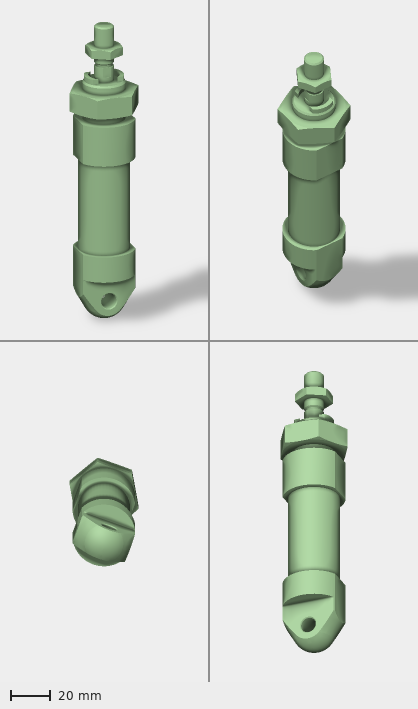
import cadquery as cq
import math

TOTAL_LENGTH = 157.0

REAR_CAP_BOTTOM = 24.0
TUBE_BOTTOM = 37.5
TUBE_TOP = 86.4
HEAD_CAP_TOP = 107.2
COLLAR_TOP = 127.5
LUG_TOP = 130.3

CAP_DIAMETER = 32.0
FRONT_FLAT_DISTANCE = 14.0
BACK_FLAT_DISTANCE = 14.5
TUBE_DIAMETER = 26.5
COLLAR_DIAMETER = 22.0
COLLAR_TOP_DIAMETER = 20.4
COLLAR_CHAMFER_HEIGHT = 1.0
LUG_INNER_DIAMETER = 16.0
LUG_WIDTH = 12.2

TONGUE_THICKNESS = 15.7
TONGUE_ROOT_FILLET = 0.6
TIP_RADIUS = 11.3
CONE_HALF_ANGLE = math.radians(30)
PIVOT_HEIGHT = 11.0
PIVOT_HOLE_DIAMETER = 8.0
PIVOT_HOLE_CHAMFER = 0.5

ROD_DIAMETER = 10.0
ROD_NECK_DIAMETER = 8.5
ROD_ACROSS_FLATS = 9.1
ROD_FLAT_BOTTOM = 130.3
ROD_NECK_BOTTOM = 135.3
ROD_THREAD_BOTTOM = 137.4
ROD_CHAMFER = (ROD_DIAMETER - ROD_NECK_DIAMETER) / 2

ROD_NUT_BOTTOM = 141.3
ROD_NUT_HEIGHT = 4.7
ROD_NUT_ACROSS_FLATS = 17.0
MOUNT_NUT_BOTTOM = 112.0
MOUNT_NUT_HEIGHT = 11.0
MOUNT_NUT_ACROSS_FLATS = CAP_DIAMETER
NUT_CHAMFER_HEIGHT = 0.6


def cylinder(diameter, bottom, top):
    return cq.Workplane("XY").workplane(offset=bottom).circle(diameter / 2).extrude(top - bottom)


def slab(size_x, size_y, bottom, top):
    return (
        cq.Workplane("XY")
        .workplane(offset=bottom)
        .rect(size_x, size_y)
        .extrude(top - bottom)
    )


def make_cap(bottom, top):
    """Round end cap with a flat on each Y side, the +Y flat set slightly farther out."""
    across_flats = FRONT_FLAT_DISTANCE + BACK_FLAT_DISTANCE
    centre_y = (BACK_FLAT_DISTANCE - FRONT_FLAT_DISTANCE) / 2
    flat_sided_slab = slab(CAP_DIAMETER, across_flats, bottom, top).translate((0, centre_y, 0))
    return cylinder(CAP_DIAMETER, bottom, top).intersect(flat_sided_slab)


def make_clevis_envelope():
    """Revolved ball tip, tangent cone and straight shank that bound the rear cap."""
    shank_radius = CAP_DIAMETER / 2
    tangent_radius = TIP_RADIUS * math.cos(CONE_HALF_ANGLE)
    tangent_height = TIP_RADIUS * (1 - math.sin(CONE_HALF_ANGLE))
    cone_top = tangent_height + (shank_radius - tangent_radius) / math.tan(CONE_HALF_ANGLE)
    arc_middle_angle = (math.pi / 2 + CONE_HALF_ANGLE) / 2
    arc_middle = (
        TIP_RADIUS * math.cos(arc_middle_angle),
        TIP_RADIUS * (1 - math.sin(arc_middle_angle)),
    )
    return (
        cq.Workplane("XZ")
        .moveTo(0, 0)
        .threePointArc(arc_middle, (tangent_radius, tangent_height))
        .lineTo(shank_radius, cone_top)
        .lineTo(shank_radius, TUBE_BOTTOM)
        .lineTo(0, TUBE_BOTTOM)
        .close()
        .revolve(360, (0, 0, 0), (0, 1, 0))
    )


def make_rear_cap():
    """Rear cap with its clevis tongue and pivot hole along X."""
    half_tongue = TONGUE_THICKNESS / 2
    half_cap = CAP_DIAMETER / 2
    fillet = TONGUE_ROOT_FILLET
    section = (
        cq.Workplane("XZ")
        .moveTo(-half_tongue, 0)
        .lineTo(half_tongue, 0)
        .lineTo(half_tongue, REAR_CAP_BOTTOM - fillet)
        .radiusArc((half_tongue + fillet, REAR_CAP_BOTTOM), fillet)
        .lineTo(half_cap, REAR_CAP_BOTTOM)
        .lineTo(half_cap, TUBE_BOTTOM)
        .lineTo(-half_cap, TUBE_BOTTOM)
        .lineTo(-half_cap, REAR_CAP_BOTTOM)
        .lineTo(-half_tongue - fillet, REAR_CAP_BOTTOM)
        .radiusArc((-half_tongue, REAR_CAP_BOTTOM - fillet), fillet)
        .close()
        .extrude(CAP_DIAMETER / 2, both=True)
    )
    hole_radius = PIVOT_HOLE_DIAMETER / 2
    mouth_radius = hole_radius + PIVOT_HOLE_CHAMFER
    chamfer_start = half_tongue - PIVOT_HOLE_CHAMFER
    pivot_hole = (
        cq.Workplane("XZ")
        .polyline([
            (-half_tongue, PIVOT_HEIGHT),
            (-half_tongue, PIVOT_HEIGHT + mouth_radius),
            (-chamfer_start, PIVOT_HEIGHT + hole_radius),
            (chamfer_start, PIVOT_HEIGHT + hole_radius),
            (half_tongue, PIVOT_HEIGHT + mouth_radius),
            (half_tongue, PIVOT_HEIGHT),
        ])
        .close()
        .revolve(360, (0, PIVOT_HEIGHT, 0), (1, PIVOT_HEIGHT, 0))
    )
    flat_sided_blank = make_cap(0, TUBE_BOTTOM).intersect(make_clevis_envelope())
    return flat_sided_blank.intersect(section).cut(pivot_hole)


def make_collar():
    """Threaded collar with a chamfered top and two curved lugs on its Y sides."""
    chamfer_width = (COLLAR_DIAMETER - COLLAR_TOP_DIAMETER) / 2
    collar = (
        cylinder(COLLAR_DIAMETER, HEAD_CAP_TOP, COLLAR_TOP)
        .faces(">Z")
        .edges()
        .chamfer(COLLAR_CHAMFER_HEIGHT, chamfer_width)
    )
    lugs = (
        cylinder(COLLAR_TOP_DIAMETER, COLLAR_TOP, LUG_TOP)
        .cut(cylinder(LUG_INNER_DIAMETER, COLLAR_TOP, LUG_TOP))
        .intersect(slab(LUG_WIDTH, COLLAR_TOP_DIAMETER, COLLAR_TOP, LUG_TOP))
    )
    return collar.union(lugs)


def make_cylinder_body():
    """Rear cap, tube, head cap and collar, with a blind bore for the rod."""
    return (
        make_rear_cap()
        .union(cylinder(TUBE_DIAMETER, TUBE_BOTTOM, TUBE_TOP))
        .union(make_cap(TUBE_TOP, HEAD_CAP_TOP))
        .union(make_collar())
        .cut(cylinder(ROD_DIAMETER, TUBE_TOP, COLLAR_TOP))
    )


def make_piston_rod():
    """Rod with wrench flats, a thread relief neck and a chamfered threaded end."""
    shank = cylinder(ROD_DIAMETER, TUBE_TOP, ROD_FLAT_BOTTOM)
    flats = cylinder(ROD_DIAMETER, ROD_FLAT_BOTTOM, ROD_NECK_BOTTOM).intersect(
        slab(ROD_ACROSS_FLATS, ROD_DIAMETER, ROD_FLAT_BOTTOM, ROD_NECK_BOTTOM)
    )
    thread_chamfer_bottom = ROD_THREAD_BOTTOM - ROD_CHAMFER
    neck = cylinder(ROD_NECK_DIAMETER, ROD_NECK_BOTTOM, thread_chamfer_bottom)
    thread = cylinder(ROD_DIAMETER, thread_chamfer_bottom, TOTAL_LENGTH).edges().chamfer(ROD_CHAMFER)
    return shank.union(flats).union(neck).union(thread)


def make_nut(across_flats, height, bottom, bore, turn, chamfered_faces):
    """Hexagon nut whose corners are turned down to the across-flats circle on the chosen faces."""
    across_corners = across_flats / math.cos(math.pi / 6)
    chamfer_width = (across_corners - across_flats) / 2
    turned_blank = (
        cq.Workplane("XY")
        .circle(across_corners / 2)
        .extrude(height)
        .faces(chamfered_faces)
        .edges()
        .chamfer(NUT_CHAMFER_HEIGHT, chamfer_width)
    )
    hexagon = (
        cq.Workplane("XY")
        .polygon(6, across_corners)
        .extrude(height)
        .rotate((0, 0, 0), (0, 0, 1), turn)
    )
    return (
        hexagon.intersect(turned_blank)
        .cut(cylinder(bore, 0, height))
        .translate((0, 0, bottom))
    )


cylinder_body = make_cylinder_body()
piston_rod = make_piston_rod()

rod_nut = make_nut(
    ROD_NUT_ACROSS_FLATS, ROD_NUT_HEIGHT, ROD_NUT_BOTTOM, ROD_DIAMETER, turn=0, chamfered_faces=">Z"
)
mounting_nut = make_nut(
    MOUNT_NUT_ACROSS_FLATS,
    MOUNT_NUT_HEIGHT,
    MOUNT_NUT_BOTTOM,
    COLLAR_DIAMETER,
    turn=90,
    chamfered_faces="<Z or >Z",
)

result = cq.Compound.makeCompound([
    cylinder_body.val(),
    piston_rod.val(),
    rod_nut.val(),
    mounting_nut.val(),
])